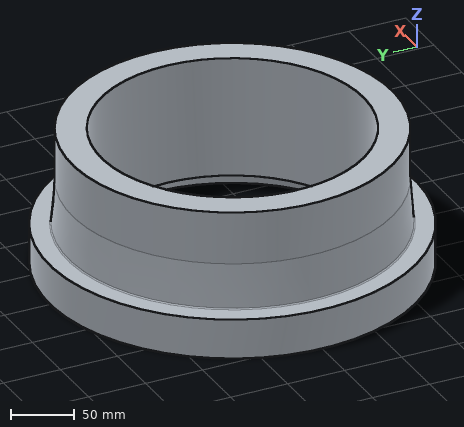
import cadquery as cq

total_height = 120.0
flange_diameter = 320.0
flange_height = 35.0
spigot_diameter = 280.0
wall_thickness = 25.4
taper_top_height = 74.0
collar_base_diameter = 286.0
root_fillet = 1.0
bore_chamfer = 15.0

bore_diameter = spigot_diameter - 2 * wall_thickness


def outer_body():
    """Solid of revolution: flange, tapered collar and straight spigot."""
    profile = (
        cq.Workplane("XZ")
        .lineTo(flange_diameter / 2, 0)
        .lineTo(flange_diameter / 2, flange_height)
        .lineTo(collar_base_diameter / 2, flange_height)
        .lineTo(spigot_diameter / 2, taper_top_height)
        .lineTo(spigot_diameter / 2, total_height)
        .lineTo(0, total_height)
        .close()
    )
    return profile.revolve(360, (0, 0, 0), (0, 1, 0))


def round_collar_root(body):
    """Fillet the inside corner where the collar meets the flange."""
    root_radius = collar_base_diameter / 2
    margin = root_fillet
    root_zone = cq.selectors.BoxSelector(
        (-root_radius - margin, -root_radius - margin, flange_height - margin),
        (root_radius + margin, root_radius + margin, flange_height + margin),
        boundingbox=True,
    )
    return body.edges(root_zone).fillet(root_fillet)


def cut_bore(body):
    """Bore straight through and chamfer its edge on the flange face."""
    bore = cq.Workplane("XY").circle(bore_diameter / 2).extrude(total_height)
    bored = body.cut(bore)
    bore_mouth = bored.faces("<Z").edges(cq.selectors.RadiusNthSelector(0))
    return bore_mouth.chamfer(bore_chamfer)


result = cut_bore(round_collar_root(outer_body()))